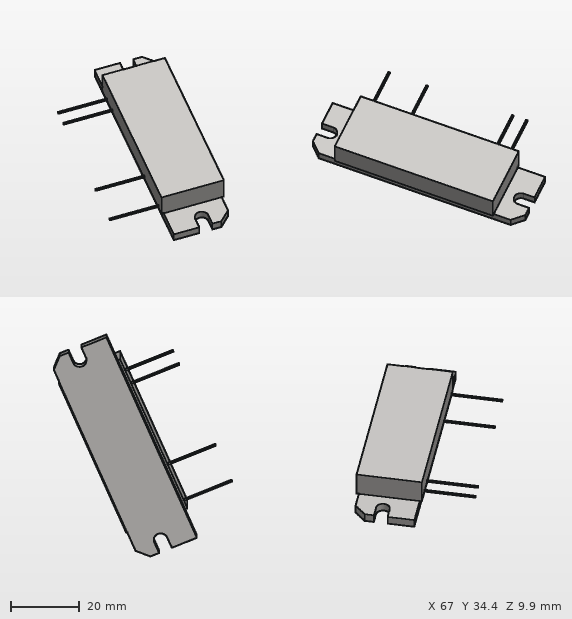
import cadquery as cq

flange_length = 67.0
flange_width = 17.95
flange_thickness = 2.6
corner_chamfer = 3.3

slot_width = 4.0
slot_depth = 5.5
slot_offset_y = 0.95

body_length = 49.85
body_width = 19.3
total_height = 9.9
body_height = total_height - flange_thickness

lead_diameter = 0.6
lead_length = 15.1
lead_embed = 0.7
lead_height = 3.4
lead_positions = (-21.05, -16.6, 10.4, 22.4)


def make_flange():
    """Plate with its two rear corners cut and a round-ended slot in each end."""
    plate = cq.Workplane("XY").box(
        flange_length, flange_width, flange_thickness, centered=(True, True, False)
    )
    plate = plate.faces(">Y").edges("|Z").chamfer(corner_chamfer)
    slots = (
        cq.Workplane("XY")
        .pushPoints([(side * flange_length / 2, slot_offset_y) for side in (-1, 1)])
        .slot2D(2 * slot_depth, slot_width)
        .extrude(flange_thickness)
    )
    return plate.cut(slots)


def make_body():
    return (
        cq.Workplane("XY")
        .workplane(offset=flange_thickness)
        .box(body_length, body_width, body_height, centered=(True, True, False))
    )


def make_leads():
    """Round leads pointing towards -Y, rooted slightly inside the body."""
    return (
        cq.Workplane("XZ", origin=(0, lead_embed - body_width / 2, lead_height))
        .pushPoints([(x, 0) for x in lead_positions])
        .circle(lead_diameter / 2)
        .extrude(lead_embed + lead_length)
    )


result = make_flange().union(make_body()).union(make_leads())